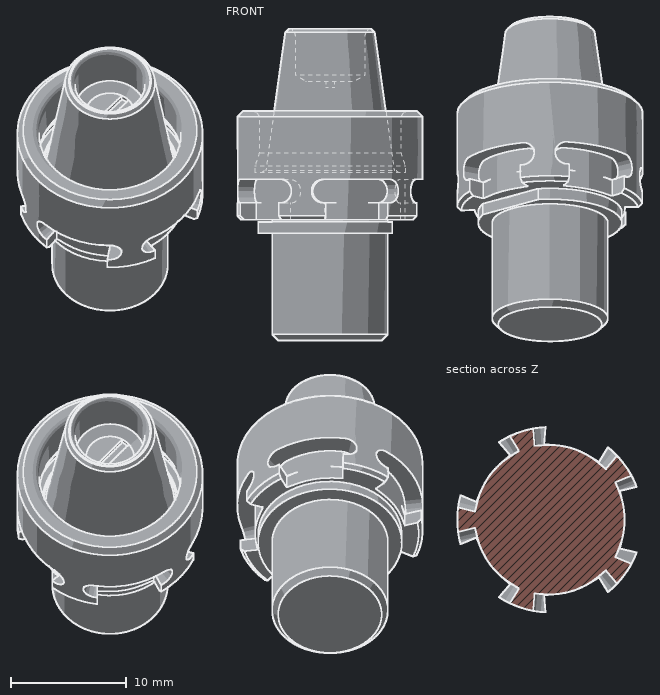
import cadquery as cq
import math

total_height = 26.9
flange_bottom = 9.25
flange_top = 10.25
nut_bottom = 10.4
slot_bottom = 11.9
slot_height = 2.02
recess_floor = 14.53
neck_bottom = 16.22
nut_top = 19.83
screw_height = 22.38
mouth_floor = 22.92

shank_diameter = 10.0
shank_chamfer = 0.55
flange_diameter = 12.4
flange_flat_distance = 5.38

nut_diameter = 16.0
nut_top_chamfer = 0.5
nut_bottom_chamfer = 0.35
neck_diameter = 12.2
cavity_diameter = 12.97
flare_height = 1.13
recess_lip_width = 0.56
recess_lip_height = 0.67

nose_diameter = 7.75
nose_chamfer = 0.32
nose_foot_diameter = 11.08
nose_step_width = 0.15
nose_step_chamfer = 0.15
mouth_diameter = 6.0
mouth_lip_width = 0.45
mouth_lip_height = 0.67
screw_diameter = 4.15
screw_slot_width = 0.75
screw_slot_depth = 0.55

slot_count = 5
slot_floor_radius = 6.45
slot_hole_angle = 22.2
gap_end_angle = 13.4

nut_radius = nut_diameter / 2
shank_radius = shank_diameter / 2
nose_radius = nose_diameter / 2
neck_radius = neck_diameter / 2
cavity_radius = cavity_diameter / 2
nose_foot_radius = nose_foot_diameter / 2
mouth_radius = mouth_diameter / 2
nose_shoulder = total_height - nose_chamfer
nose_foot = recess_floor + nose_step_chamfer
step_radius = nose_foot_radius + nose_step_width
slot_top = slot_bottom + slot_height
hole_radius = slot_height / 2
cutter_reach = nut_diameter


def rounded_lip(profile, bore_radius, width, height, top):
    """Add the arc from the top face down into a bore, tangent to the bore wall."""
    arc_radius = (width**2 + height**2) / (2 * width)
    half_sweep = math.asin(height / arc_radius) / 2
    return profile.threePointArc(
        (
            bore_radius + arc_radius * (1 - math.cos(half_sweep)),
            top - height + arc_radius * math.sin(half_sweep),
        ),
        (bore_radius, top - height),
    )


def turned_body():
    """Revolve shank, nut and nose cone as one profile."""
    profile = (
        cq.Workplane("XZ")
        .moveTo(0, 0)
        .lineTo(shank_radius - shank_chamfer, 0)
        .lineTo(shank_radius, shank_chamfer)
        .lineTo(shank_radius, nut_bottom)
        .lineTo(nut_radius - nut_bottom_chamfer, nut_bottom)
        .lineTo(nut_radius, nut_bottom + nut_bottom_chamfer)
        .lineTo(nut_radius, nut_top - nut_top_chamfer)
        .lineTo(nut_radius - nut_top_chamfer, nut_top)
        .lineTo(neck_radius + recess_lip_width, nut_top)
    )
    profile = (
        rounded_lip(profile, neck_radius, recess_lip_width, recess_lip_height, nut_top)
        .lineTo(neck_radius, neck_bottom)
        .lineTo(cavity_radius, neck_bottom - flare_height)
        .lineTo(cavity_radius, recess_floor)
        .lineTo(step_radius + nose_step_chamfer, recess_floor)
        .lineTo(step_radius, nose_foot)
        .lineTo(nose_foot_radius, nose_foot)
        .lineTo(nose_radius, nose_shoulder)
        .lineTo(nose_radius - nose_chamfer, total_height)
        .lineTo(mouth_radius + mouth_lip_width, total_height)
    )
    profile = (
        rounded_lip(profile, mouth_radius, mouth_lip_width, mouth_lip_height, total_height)
        .lineTo(mouth_radius, mouth_floor)
        .lineTo(screw_diameter / 2, screw_height)
        .lineTo(0, screw_height)
        .close()
    )
    return profile.revolve(360, (0, 0, 0), (0, 1, 0))


def flange():
    """Disc below the nut with a flat on its +X side."""
    thickness = flange_top - flange_bottom
    disc = cq.Workplane("XY").workplane(offset=flange_bottom).circle(flange_diameter / 2).extrude(thickness)
    beyond_flat = (
        cq.Workplane("XY")
        .box(flange_diameter, flange_diameter, thickness, centered=(False, True, False))
        .translate((flange_flat_distance, 0, flange_bottom))
    )
    return disc.cut(beyond_flat)


def screw_slot():
    """Screwdriver slot across the whole screw head, running along Y."""
    floor = screw_height - screw_slot_depth
    return (
        cq.Workplane("XY")
        .workplane(offset=floor)
        .circle(screw_diameter / 2)
        .extrude(screw_slot_depth)
        .intersect(
            cq.Workplane("XY")
            .box(screw_slot_width, screw_diameter, screw_slot_depth, centered=(True, True, False))
            .translate((0, 0, floor))
        )
    )


def wedge(half_angle, bottom, top):
    """Sector around the +X direction, with its point on the part axis."""
    half_width = cutter_reach * math.tan(math.radians(half_angle))
    return (
        cq.Workplane("XY")
        .workplane(offset=bottom)
        .polyline([(0, 0), (cutter_reach, -half_width), (cutter_reach, half_width)])
        .close()
        .extrude(top - bottom)
    )


def slot_end_hole(angle):
    """Flat-bottomed radial hole that rounds one end of a slot."""
    return (
        cq.Workplane("YZ")
        .workplane(offset=slot_floor_radius)
        .center(0, slot_bottom + hole_radius)
        .circle(hole_radius)
        .extrude(cutter_reach - slot_floor_radius)
        .rotate((0, 0, 0), (0, 0, 1), angle)
    )


def gap_end_cut(angle):
    """Flat-bottomed cut, as wide as a slot end hole, that squares off one end of the gap."""
    return (
        cq.Workplane("XY")
        .box(cutter_reach, slot_height, slot_bottom - nut_bottom, centered=(False, True, False))
        .translate((slot_floor_radius, 0, nut_bottom))
        .rotate((0, 0, 0), (0, 0, 1), angle)
    )


def spanner_slot():
    """T-shaped cutter facing +X: a round-ended slot and a gap down to the nut's lower face."""
    core = cq.Workplane("XY").circle(slot_floor_radius).extrude(total_height)
    slot = wedge(slot_hole_angle, slot_bottom, slot_top)
    gap = wedge(gap_end_angle, nut_bottom, slot_bottom)
    cutter = slot.union(gap).cut(core)
    for side in (-1, 1):
        cutter = cutter.union(slot_end_hole(side * slot_hole_angle))
        cutter = cutter.union(gap_end_cut(side * gap_end_angle))
    return cutter


result = turned_body().union(flange()).cut(screw_slot())
slot_cutter = spanner_slot()
for index in range(slot_count):
    result = result.cut(slot_cutter.rotate((0, 0, 0), (0, 0, 1), index * 360 / slot_count))